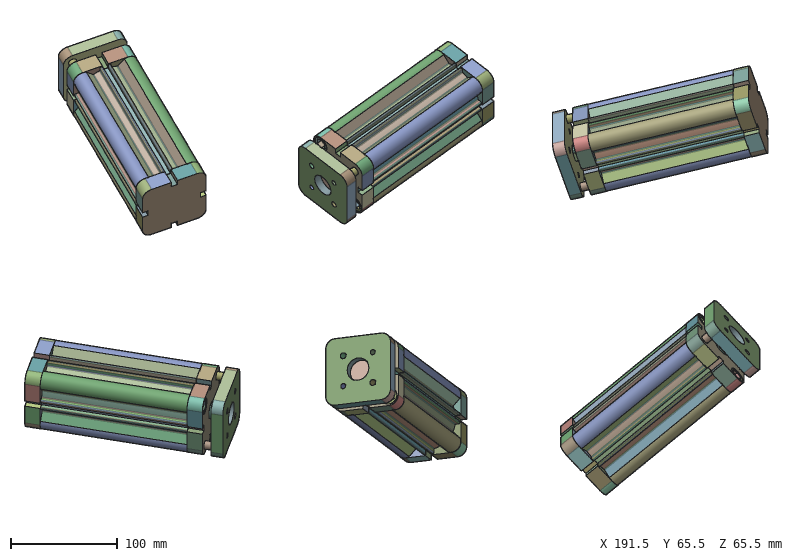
import cadquery as cq
import math

total_length = 191.5
plate_thickness = 11.7
front_cap_start = 19.7
cap_length = 15.0
profile_start = front_cap_start + cap_length
profile_end = total_length - cap_length

width = 65.5
corner_radius = 9.4
corner_offset = width / 2 - corner_radius

barrel_radius = 27.5
bulb_radius = 9.2
web_width = 17.2
lip_half_width = 5.5
lip_height = 31.6
lip_tip_radius = 1.1
root_radius = 0.8

cap_slot_width = 6.3
cap_slot_floor = 27.0
profile_slot_half_width = 2.7
profile_slot_floor = 27.4
slot_rim_radius = 0.4

head_radius = 7.9
head_recess = 0.5
socket_across_flats = 10.0
socket_depth = 6.1

centre_bore_radius = 11.0
centre_bore_depth = 8.0
plate_hole_offset = 15.0
pin_hole_diameter = 5.7
thread_hole_diameter = 5.0

gap = front_cap_start - plate_thickness
rod_radius = 8.0
rod_chamfer = 0.5
rod_across_flats = 13.0
flat_length = 6.3
guide_radius = 4.12


def cross_section(x):
    """Workplane normal to X at station x, with its local axes along Y and Z."""
    return cq.Workplane("YZ", origin=(x, 0, 0))


def polar(radius, angle):
    return (radius * math.cos(angle), radius * math.sin(angle))


def quarter_turn(point, turns):
    y, z = point
    for _ in range(turns):
        y, z = -z, y
    return (y, z)


def rounded_square_block(start, length):
    block = cross_section(start).rect(width, width).extrude(length)
    return block.edges("|X").fillet(corner_radius)


def profile_quarter():
    """Points from the slot on +Y round the corner to the slot on +Z, as (end, arc midpoint or None)."""
    slot_root = (profile_slot_floor, profile_slot_half_width)
    slot_rim = (lip_height, profile_slot_half_width)
    lip_tip = (lip_height, lip_half_width)
    lip_root = (math.sqrt(barrel_radius**2 - lip_half_width**2), lip_half_width)

    web_root = polar(barrel_radius, math.pi / 4 - math.asin(web_width / 2 / barrel_radius))
    barrel_middle_angle = (math.atan2(*lip_root[::-1]) + math.atan2(*web_root[::-1])) / 2
    bulb_start_angle = math.pi / 4 - math.asin(web_width / 2 / bulb_radius)
    bulb_offset = polar(bulb_radius, bulb_start_angle)
    bulb_start = (corner_offset + bulb_offset[0], corner_offset + bulb_offset[1])
    bulb_reach = corner_offset + bulb_radius / math.sqrt(2)

    barrel_middle = polar(barrel_radius, barrel_middle_angle)
    return [
        (slot_root, None),
        (slot_rim, None),
        (lip_tip, None),
        (lip_root, None),
        (web_root, barrel_middle),
        (bulb_start, None),
        (bulb_start[::-1], (bulb_reach, bulb_reach)),
        (web_root[::-1], None),
        (lip_root[::-1], barrel_middle[::-1]),
        (lip_tip[::-1], None),
        (slot_rim[::-1], None),
        (slot_root[::-1], None),
    ]


def edges_along_x_at(body, y, z):
    """Edges along X through (y, z), through its mirror image in the diagonal, and in all quadrants."""
    return body.edges("|X").filter(
        lambda edge: math.isclose(abs(edge.Center().y * edge.Center().z), y * z, abs_tol=0.03667)
        and math.isclose(math.hypot(edge.Center().y, edge.Center().z), math.hypot(y, z), abs_tol=0.02)
    )


def make_profile():
    """Round barrel with a bulb on a diagonal web at each corner and a pair of slot lips on each side."""
    quarter = profile_quarter()
    outline = cross_section(profile_start).moveTo(profile_slot_floor, 0)
    for turns in range(4):
        for end, middle in quarter:
            end = quarter_turn(end, turns)
            if middle:
                outline = outline.threePointArc(quarter_turn(middle, turns), end)
            else:
                outline = outline.lineTo(*end)
    profile = outline.close().extrude(profile_end - profile_start)

    slot_rim, lip_tip, lip_root, web_root = [point for point, _ in quarter[1:5]]
    profile = edges_along_x_at(profile, *slot_rim).fillet(slot_rim_radius)
    profile = edges_along_x_at(profile, *lip_tip).fillet(lip_tip_radius)
    profile = edges_along_x_at(profile, *lip_root).fillet(root_radius)
    return edges_along_x_at(profile, *web_root).fillet(root_radius)


def make_cap(start):
    """Square block with a sensor slot across the middle of each side."""
    cap = rounded_square_block(start, cap_length)
    slot_depth = width / 2 - cap_slot_floor
    slot_middle = (width / 2 + cap_slot_floor) / 2
    slot = cross_section(start).center(slot_middle, 0).rect(slot_depth, cap_slot_width).extrude(cap_length)
    for quarter in range(4):
        cap = cap.cut(slot.rotate((0, 0, 0), (1, 0, 0), 90 * quarter))
    return cap


def cut_screw_heads(body):
    """Shallow round recess with a hexagon socket, whose flats face along Y."""
    corner_diameter = socket_across_flats / math.cos(math.pi / 6)
    for side in (-1, 1):
        plane = cross_section(front_cap_start).center(side * corner_offset, side * corner_offset)
        body = body.cut(plane.circle(head_radius).extrude(head_recess))
        socket = plane.polygon(6, corner_diameter).extrude(head_recess + socket_depth)
        centre = (0, side * corner_offset, side * corner_offset)
        body = body.cut(socket.rotate(centre, (1, centre[1], centre[2]), 30))
    return body


def make_housing():
    """Profile and both end caps in one piece."""
    front_cap = cut_screw_heads(make_cap(front_cap_start))
    rear_cap = make_cap(profile_end)
    return make_profile().union(front_cap).union(rear_cap)


def make_yoke_plate():
    plate = rounded_square_block(0, plate_thickness)
    plate = plate.cut(cross_section(0).circle(centre_bore_radius).extrude(centre_bore_depth))
    for diameter, z_sign in ((pin_hole_diameter, 1), (thread_hole_diameter, -1)):
        z = z_sign * plate_hole_offset
        positions = [(plate_hole_offset, z), (-plate_hole_offset, -z)]
        holes = cross_section(0).pushPoints(positions).circle(diameter / 2).extrude(plate_thickness)
        plate = plate.cut(holes)
    return plate


def make_piston_rod():
    """Chamfered at the plate end, with two wrench flats facing up and down."""
    rod = cross_section(plate_thickness).circle(rod_radius).extrude(gap)
    rod = rod.faces("<X").chamfer(rod_chamfer)
    for side in (-1, 1):
        z = side * (rod_across_flats / 2 + rod_radius / 2)
        flat = cross_section(plate_thickness).center(0, z).rect(2 * rod_radius, rod_radius)
        rod = rod.cut(flat.extrude(flat_length))
    return rod


def make_guide_rod(y, z):
    return cross_section(plate_thickness).center(y, z).circle(guide_radius).extrude(gap)


housing = make_housing()
yoke_plate = make_yoke_plate()
piston_rod = make_piston_rod()
guide_rods = [make_guide_rod(side * corner_offset, -side * corner_offset) for side in (-1, 1)]

result = cq.Compound.makeCompound(
    [housing.val(), yoke_plate.val(), piston_rod.val(), *[rod.val() for rod in guide_rods]]
)